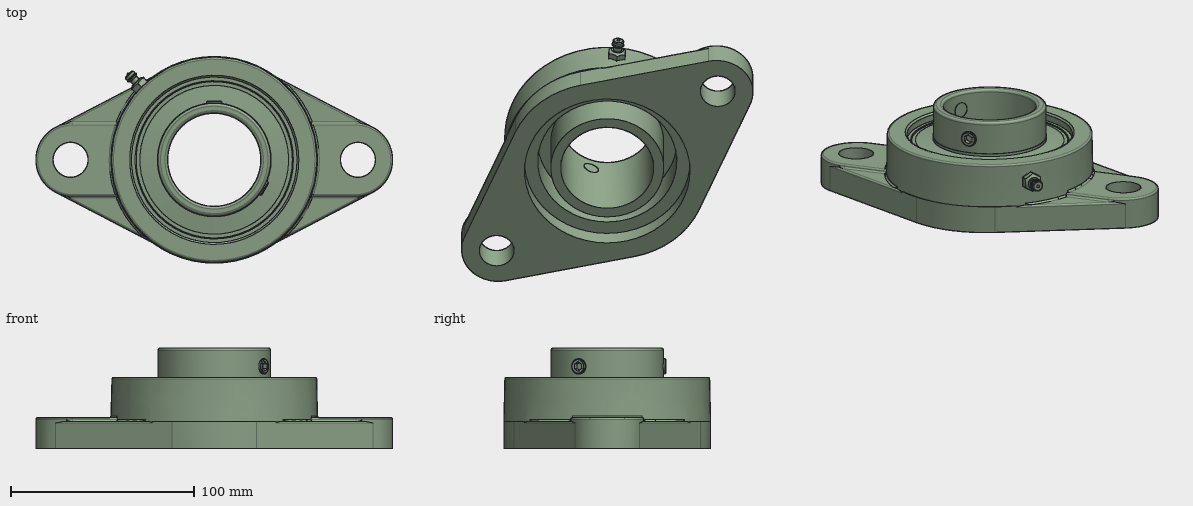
import cadquery as cq
import math


flange_length = 195.0
flange_width = 113.0
waist_radius = 50.0
ear_radius = 20.0
ledge_height = 15.0
pad_height = 17.0
bolt_spacing = 157.0
bolt_hole_diameter = 19.0
edge_round = 1.0

drum_top = 39.0
drum_base_radius = flange_width / 2
drum_top_radius = 56.0
housing_bore_diameter = 90.46
bore_chamfer = 1.0

race_face = 34.5
race_width = 24.0
race_bore_radius = 38.0
seal_seat_radius = 43.25
seal_rim_radius = 42.7
seal_thickness = 2.0
seal_rim_step = 0.3
slinger_diameter = 81.28
slinger_hub_diameter = 62.23
slinger_rise = 1.0
slinger_hub_top = 37.0
collar_diameter = 61.72
shaft_diameter = 50.8
collar_top = 55.1
inner_ring_width = 51.6
collar_round = 1.5

screw_diameter = 8.38
screw_height = 45.0
screw_outer_end = 32.1
screw_chamfer = 0.5
screw_socket_flats = 4.4
screw_socket_depth = 3.0
screw_angles = (90.0, -30.0)

nipple_height = 28.4
nipple_angle = 135.0
nipple_shank_diameter = 6.0
nipple_shank_start = 48.0
nipple_hex_start = 55.5
nipple_hex_shoulder = 58.9
nipple_hex_end = 60.2
nipple_neck_end = 62.5
nipple_bead_peak = 63.5
nipple_head_start = 64.2
nipple_head_end = 66.2
nipple_hex_flats = 9.0
nipple_hex_end_radius = 3.2
nipple_neck_radius = 2.3
nipple_bead_radius = 3.3
nipple_head_diameter = 5.99
nipple_head_chamfer = 0.5
nipple_ball_diameter = 1.51

ear_center = flange_length / 2 - ear_radius
waist_center = flange_width / 2 - waist_radius

center_distance = math.hypot(ear_center, waist_center)
center_slope = math.atan2(waist_center, ear_center)
flank_angle = math.acos((waist_radius - ear_radius) / center_distance) - center_slope


def flange_outline(inset, height):
    """Diamond-shaped flange prism from Z = 0, with its outline moved inward by inset."""
    waist = waist_radius - inset
    ear = ear_radius - inset
    waist_x = waist * math.cos(flank_angle)
    waist_y = waist_center + waist * math.sin(flank_angle)
    ear_x = ear_center + ear * math.cos(flank_angle)
    ear_y = ear * math.sin(flank_angle)
    side_y = waist_center + waist
    end_x = ear_center + ear
    return (
        cq.Workplane("XY")
        .moveTo(-waist_x, waist_y)
        .threePointArc((0, side_y), (waist_x, waist_y))
        .lineTo(ear_x, ear_y)
        .threePointArc((end_x, 0), (ear_x, -ear_y))
        .lineTo(waist_x, -waist_y)
        .threePointArc((0, -side_y), (-waist_x, -waist_y))
        .lineTo(-ear_x, -ear_y)
        .threePointArc((-end_x, 0), (-ear_x, ear_y))
        .close()
        .extrude(height)
    )


def pad_prism(inset, height):
    """Round-ended strip from Z = 0 that carries both bolt pads."""
    return (
        cq.Workplane("XY")
        .slot2D(flange_length - 2 * inset, 2 * (ear_radius - inset))
        .extrude(height)
    )


def drum_radius_at(height):
    taper = (drum_base_radius - drum_top_radius) / (drum_top - ledge_height)
    return drum_base_radius - taper * (height - ledge_height)


def drum_root_fillet(base_height):
    """Concave ring where the drum rises from a flat surface at base_height."""
    wall = drum_radius_at(base_height)
    outer = wall + edge_round
    upper = base_height + edge_round
    reach = edge_round * (1 - math.sqrt(0.5))
    inside = wall - 2 * edge_round
    return (
        cq.Workplane("XZ")
        .moveTo(inside, base_height)
        .lineTo(outer, base_height)
        .threePointArc((wall + reach, base_height + reach), (wall, upper))
        .lineTo(inside, upper)
        .close()
        .revolve(360, (0, 0, 0), (0, 1, 0))
    )


def pad_root_fillet():
    """Concave fillet where the pad strip rises from the ledges, kept to the flat ledge area."""
    slab = cq.Workplane("XY").rect(2 * flange_length, 2 * flange_width).extrude(ledge_height)
    stepped = slab.union(pad_prism(0, ledge_height + 2 * edge_round))
    root = stepped.edges(
        cq.selectors.BoxSelector(
            (-flange_length * 0.6, -flange_width * 0.4, ledge_height - edge_round / 2),
            (flange_length * 0.6, flange_width * 0.4, ledge_height + edge_round / 2),
        )
    )
    return root.fillet(edge_round).intersect(flange_outline(edge_round, pad_height - edge_round))


def make_flange():
    ledges = flange_outline(0, ledge_height).faces(">Z").edges().fillet(edge_round)
    under_drum = flange_outline(0, ledge_height).intersect(
        cq.Workplane("XY").circle(drum_base_radius).extrude(ledge_height)
    )
    pads = pad_prism(0, pad_height).faces(">Z").edges().fillet(edge_round)
    return ledges.union(under_drum).union(pads).union(pad_root_fillet())


def make_drum():
    drum = (
        cq.Workplane("XZ")
        .moveTo(0, ledge_height)
        .lineTo(drum_base_radius, ledge_height)
        .lineTo(drum_top_radius, drum_top)
        .lineTo(0, drum_top)
        .close()
        .revolve(360, (0, 0, 0), (0, 1, 0))
    )
    drum = drum.faces(">Z").edges().fillet(edge_round)
    ledge_root = drum_root_fillet(ledge_height).intersect(flange_outline(edge_round, drum_top))
    pad_root = drum_root_fillet(pad_height).intersect(pad_prism(edge_round, drum_top))
    return drum.union(ledge_root).union(pad_root)


def make_housing(nipple):
    bore = cq.Workplane("XY").circle(housing_bore_diameter / 2).extrude(drum_top)
    bolt_holes = (
        cq.Workplane("XY")
        .pushPoints([(-bolt_spacing / 2, 0), (bolt_spacing / 2, 0)])
        .circle(bolt_hole_diameter / 2)
        .extrude(pad_height)
    )
    body = make_flange().union(make_drum()).cut(bore).cut(bolt_holes)
    bore_rim = body.faces(">Z").edges(cq.selectors.RadiusNthSelector(0))
    return bore_rim.chamfer(bore_chamfer).cut(nipple)


def make_outer_race():
    bottom = race_face - race_width
    ring = (
        cq.Workplane("XY", origin=(0, 0, bottom))
        .circle(housing_bore_diameter / 2)
        .circle(race_bore_radius)
        .extrude(race_width)
    )
    seat = (
        cq.Workplane("XY", origin=(0, 0, race_face - seal_thickness))
        .circle(seal_seat_radius)
        .extrude(seal_thickness)
    )
    return ring.cut(seat)


def make_seal():
    """Flat ring between the outer race and the slinger, with a lowered outer rim."""
    bottom = race_face - seal_thickness
    seal = (
        cq.Workplane("XY", origin=(0, 0, bottom))
        .circle(seal_seat_radius)
        .circle(slinger_diameter / 2)
        .extrude(seal_thickness)
    )
    rim = (
        cq.Workplane("XY", origin=(0, 0, race_face - seal_rim_step))
        .circle(seal_seat_radius)
        .circle(seal_rim_radius)
        .extrude(seal_rim_step)
    )
    return seal.cut(rim)


def make_slinger():
    """Slightly conical disc with a short hub around the inner ring."""
    bottom = race_face - seal_thickness
    return (
        cq.Workplane("XZ")
        .moveTo(collar_diameter / 2, bottom)
        .lineTo(slinger_diameter / 2, bottom)
        .lineTo(slinger_diameter / 2, race_face)
        .lineTo(slinger_hub_diameter / 2, race_face + slinger_rise)
        .lineTo(slinger_hub_diameter / 2, slinger_hub_top)
        .lineTo(collar_diameter / 2, slinger_hub_top)
        .close()
        .revolve(360, (0, 0, 0), (0, 1, 0))
    )


def make_inner_ring(screws):
    ring = (
        cq.Workplane("XY", origin=(0, 0, collar_top - inner_ring_width))
        .circle(collar_diameter / 2)
        .circle(shaft_diameter / 2)
        .extrude(inner_ring_width)
    )
    ring = ring.faces(">Z").edges().fillet(collar_round)
    for angle in screw_angles:
        hole = (
            cq.Workplane("YZ")
            .center(0, screw_height)
            .circle(screw_diameter / 2)
            .extrude(screw_outer_end)
            .rotate((0, 0, 0), (0, 0, 1), angle)
        )
        ring = ring.cut(hole)
    return ring


def make_screw(angle):
    inner_end = shaft_diameter / 2
    screw = (
        cq.Workplane("YZ", origin=(inner_end, 0, screw_height))
        .circle(screw_diameter / 2)
        .extrude(screw_outer_end - inner_end)
    )
    screw = screw.faces(">X").edges().chamfer(screw_chamfer)
    socket = (
        cq.Workplane("YZ", origin=(screw_outer_end - screw_socket_depth, 0, screw_height))
        .polygon(6, screw_socket_flats / math.cos(math.pi / 6))
        .extrude(screw_socket_depth)
        .rotate((0, 0, screw_height), (1, 0, screw_height), 90)
    )
    return screw.cut(socket).rotate((0, 0, 0), (0, 0, 1), angle)


def make_nipple():
    """Turned along X, its hexagon standing on a corner, then swung to its angle."""
    hex_corner = nipple_hex_flats / 2 / math.cos(math.pi / 6)
    head_radius = nipple_head_diameter / 2
    hex_blank = (
        cq.Workplane("YZ", origin=(nipple_hex_start, 0, 0))
        .polygon(6, 2 * hex_corner)
        .extrude(nipple_hex_end - nipple_hex_start)
        .rotate((0, 0, 0), (1, 0, 0), 90)
    )
    hex_envelope = (
        cq.Workplane("XY")
        .moveTo(nipple_hex_start, 0)
        .lineTo(nipple_hex_start, hex_corner)
        .lineTo(nipple_hex_shoulder, hex_corner)
        .lineTo(nipple_hex_end, nipple_hex_end_radius)
        .lineTo(nipple_hex_end, 0)
        .close()
        .revolve(360, (0, 0, 0), (1, 0, 0))
    )
    ball_radius = nipple_ball_diameter / 2
    spindle = (
        cq.Workplane("XY")
        .moveTo(nipple_shank_start, 0)
        .lineTo(nipple_shank_start, nipple_shank_diameter / 2)
        .lineTo(nipple_hex_start, nipple_shank_diameter / 2)
        .lineTo(nipple_hex_start, nipple_neck_radius)
        .lineTo(nipple_neck_end, nipple_neck_radius)
        .lineTo(nipple_bead_peak, nipple_bead_radius)
        .lineTo(nipple_head_start, head_radius)
        .lineTo(nipple_head_end - nipple_head_chamfer, head_radius)
        .lineTo(nipple_head_end, head_radius - nipple_head_chamfer)
        .lineTo(nipple_head_end, ball_radius)
        .radiusArc((nipple_head_end + ball_radius, 0), ball_radius)
        .close()
        .revolve(360, (0, 0, 0), (1, 0, 0))
    )
    nipple = hex_blank.intersect(hex_envelope).union(spindle)
    return nipple.rotate((0, 0, 0), (0, 0, 1), nipple_angle).translate((0, 0, nipple_height))


nipple = make_nipple()
screws = [make_screw(angle) for angle in screw_angles]
housing = make_housing(nipple)
outer_race = make_outer_race()
seal = make_seal()
slinger = make_slinger()
inner_ring = make_inner_ring(screws)

result = cq.Compound.makeCompound(
    [
        housing.val(),
        outer_race.val(),
        seal.val(),
        slinger.val(),
        inner_ring.val(),
        nipple.val(),
        *[screw.val() for screw in screws],
    ]
)